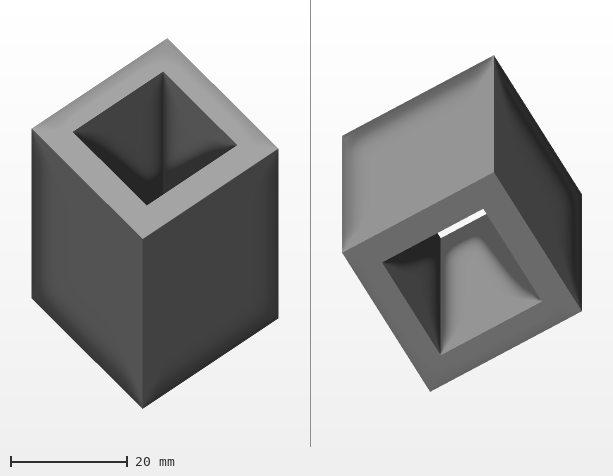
import cadquery as cq

height = 50.0
outer_width = 30.0
wall_thickness = 5.0
bore_width = outer_width - 2 * wall_thickness

result = (
    cq.Workplane("XY")
    .rect(outer_width, outer_width)
    .rect(bore_width, bore_width)
    .extrude(height)
)